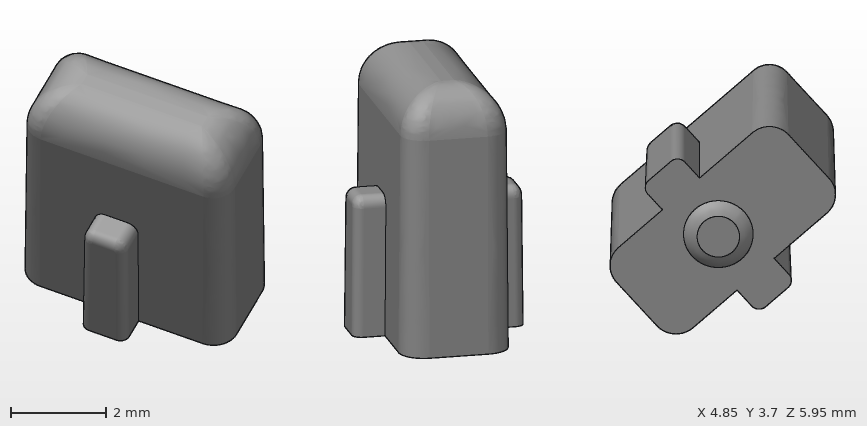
import cadquery as cq
import math

body_length = 4.85
body_width = 2.355
body_height = 5.755
body_corner_radius = 0.54
crown_radius = 0.995
draft_angle = 0.5

crown_steps = 8
sharp_corner_radius = 0.003

tab_width = 1.05
tab_span = 3.7
tab_height = 3.065
tab_side_radius = 0.25
tab_end_radius = 0.21

total_height = 5.95
button_depth = total_height - body_height
button_top_radius = 0.73
button_bottom_radius = 0.445
button_middle_radius = 0.605
button_middle_depth = 0.125

offset_x = -0.125

draft = math.radians(draft_angle)
shoulder_height = body_height - crown_radius * (1 - math.sin(draft))
shoulder_inset = shoulder_height * math.tan(draft)
shoulder_corner_radius = body_corner_radius - shoulder_inset


def rounded_rectangle(length, width, corner_radius):
    return cq.Sketch().rect(length, width).vertices().fillet(corner_radius)


def lower_body():
    """Drafted walls from the base to the shoulder."""
    outline = rounded_rectangle(body_length, body_width, body_corner_radius)
    return cq.Workplane("XY").placeSketch(outline).extrude(shoulder_height, taper=draft_angle)


def crown():
    """Rounded top whose corner radius shrinks to a sharp corner at the flat."""
    full_inset = crown_radius * math.cos(draft)
    sections = []
    for step in range(crown_steps + 1):
        angle = draft + (math.pi / 2 - draft) * step / crown_steps
        inset = full_inset - crown_radius * math.cos(angle)
        height = body_height - crown_radius * (1 - math.sin(angle))
        corner_radius = shoulder_corner_radius * (1 - inset / full_inset)
        section = rounded_rectangle(
            body_length - 2 * (shoulder_inset + inset),
            body_width - 2 * (shoulder_inset + inset),
            max(corner_radius, sharp_corner_radius),
        )
        sections.append(section.moved(cq.Location(cq.Vector(0, 0, height))))
    return cq.Workplane("XY").placeSketch(*sections).loft()


def tabs():
    """Drafted bar, rounded along its top sides and then around both ends."""
    bar = cq.Workplane("XY").rect(tab_width, tab_span).extrude(tab_height, taper=draft_angle)
    bar = bar.faces(">Z").edges("|Y or <X or >X").fillet(tab_side_radius)
    return bar.faces("<Y or >Y").edges("not <Z").fillet(tab_end_radius)


def button():
    """Shallow round button with a curved flank, hanging below Z = 0."""
    return (
        cq.Workplane("XZ")
        .lineTo(button_top_radius, 0)
        .threePointArc(
            (button_middle_radius, -button_middle_depth),
            (button_bottom_radius, -button_depth),
        )
        .lineTo(0, -button_depth)
        .close()
        .revolve(360, (0, 0), (0, 1))
    )


fittings = tabs().union(button()).translate((offset_x, 0, 0))

result = lower_body().union(crown()).union(fittings)